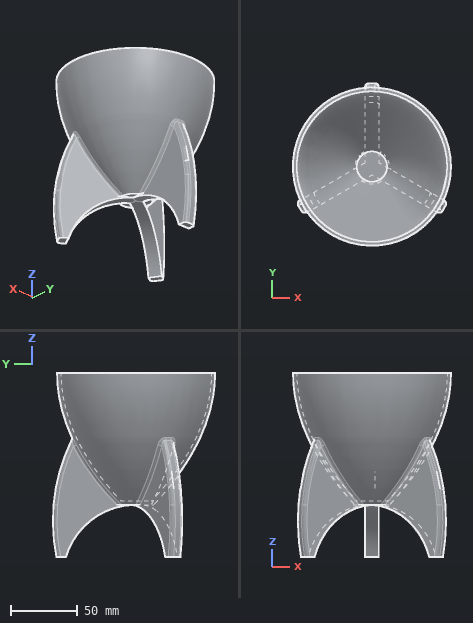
import cadquery as cq
import math

TOP_Z = 139.62
CUP_HEIGHT = 100.0
BASE_Z = TOP_Z - CUP_HEIGHT
RIM_RADIUS = 60.0
BASE_RADIUS = 13.0
WALL = 3.0
FLOOR_Z = BASE_Z + WALL
FLOOR_RADIUS = 11.5

FIN_COUNT = 3
FIRST_FIN_ANGLE = 90.0
FIN_THICKNESS = 10.6
FIN_REACH = 63.15
FIN_WIDEST_Z = 27.5
FIN_OUTER_ARC_RADIUS = 138.0
FIN_TOP_Z = 100.0
ARCH_RADIUS = 55.4
FIN_EDGE_FILLET = 3.0
FIN_ROOT_FILLET = 2.5

ROOT_OVERRUN = 3.0
ROOT_END_Z = BASE_Z - ROOT_OVERRUN
LEVEL_TOLERANCE = 0.001


def wall_radius(z):
    """Outer radius of the cup wall, also valid just below the base."""
    depth_ratio = (TOP_Z - z) / CUP_HEIGHT
    return RIM_RADIUS - (RIM_RADIUS - BASE_RADIUS) * depth_ratio**2


def bowl(rim_radius, bottom_radius, bottom_z):
    """Solid of revolution under a parabola whose wall is vertical at the rim."""
    mid_z = (TOP_Z + bottom_z) / 2
    bottom_corner = (bottom_radius, bottom_z)
    return (
        cq.Workplane("XZ")
        .moveTo(0, bottom_z)
        .lineTo(*bottom_corner)
        .bezier([bottom_corner, (rim_radius, mid_z), (rim_radius, TOP_Z)])
        .lineTo(0, TOP_Z)
        .close()
        .revolve(360, (0, 0, 0), (0, 1, 0))
    )


def fin_edge_point(z):
    """Point (distance from the cup axis, z) on the fin's curved outer edge."""
    rise = z - FIN_WIDEST_Z
    inset = FIN_OUTER_ARC_RADIUS - math.sqrt(FIN_OUTER_ARC_RADIUS**2 - rise**2)
    return (FIN_REACH - inset, z)


def fin_plate():
    """Fin along +X, running inward to the cup axis, with its outer edges rounded."""
    plate = (
        cq.Workplane("XZ")
        .lineTo(*fin_edge_point(0))
        .threePointArc(fin_edge_point(FIN_WIDEST_Z), fin_edge_point(FIN_TOP_Z))
        .lineTo(0, FIN_TOP_Z)
        .close()
        .extrude(FIN_THICKNESS / 2, both=True)
    )
    outer_face = plate.faces(cq.NearestToPointSelector((FIN_REACH, 0, FIN_WIDEST_Z)))
    return outer_face.edges("not |Y").fillet(FIN_EDGE_FILLET)


def everything_below(z):
    """Disk wide enough to cut away all that lies between the ground and height z."""
    return cq.Workplane("XY").circle(2 * FIN_REACH).extrude(z)


def arched_fin():
    """Full-height fin with the round arch under the cup cut away."""
    arch = (
        cq.Workplane("XZ")
        .center(0, BASE_Z - ARCH_RADIUS)
        .circle(ARCH_RADIUS)
        .extrude(FIN_THICKNESS, both=True)
    )
    return fin_plate().cut(arch)


def add_fins(body, fin):
    """Join copies of the fin, equally spaced around the cup axis, to the body."""
    for index in range(FIN_COUNT):
        angle = FIRST_FIN_ANGLE + index * 360 / FIN_COUNT
        body = body.union(fin.rotate((0, 0, 0), (0, 0, 1), angle))
    return body


def is_fin_root(edge):
    """True for the joint between fin and bowl, made of the only free-form edges above the root end."""
    return edge.geomType() == "BSPLINE" and edge.BoundingBox().zmax > ROOT_END_Z + LEVEL_TOLERANCE


def filleted_bowl():
    """Solid bowl with the upper part of the fins blended into it, trimmed at the cup base."""
    body = bowl(RIM_RADIUS, wall_radius(ROOT_END_Z), ROOT_END_Z)
    body = add_fins(body, fin_plate().cut(everything_below(ROOT_END_Z)))
    roots = [edge for edge in body.edges().vals() if is_fin_root(edge)]
    body = body.newObject(roots).fillet(FIN_ROOT_FILLET)
    return body.cut(everything_below(BASE_Z))


def rocket_cup():
    """Cup standing on its fins, hollowed out last so that no fin reaches the inside."""
    outside = add_fins(filleted_bowl(), arched_fin())
    cavity = bowl(RIM_RADIUS - WALL, FLOOR_RADIUS, FLOOR_Z)
    return outside.cut(cavity)


result = rocket_cup()